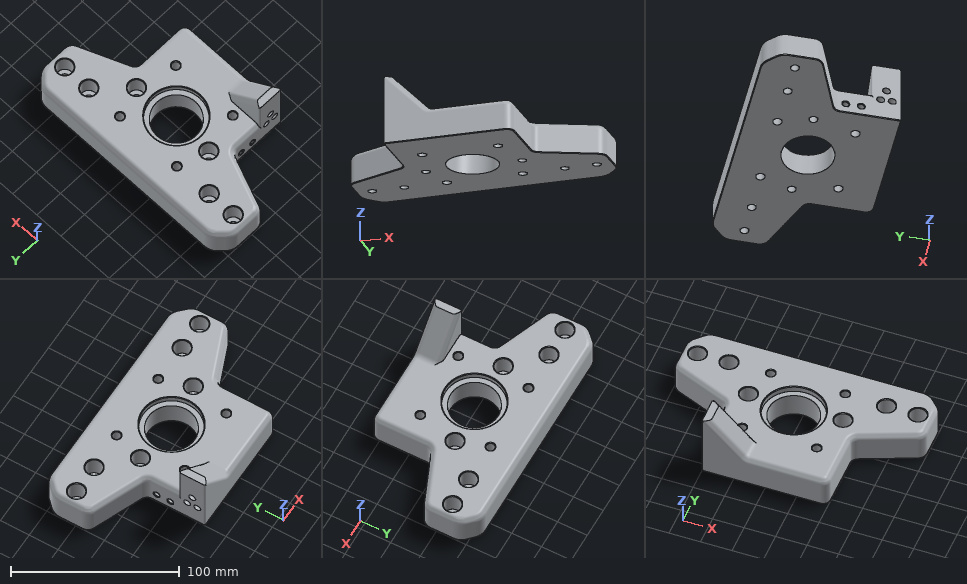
import cadquery as cq
import math

half_span = 79.9
half_body = 40.1
back_y = 43.3
front_y = -48.0
wing_end_y = 8.8
waist_y = -7.3
back_cut = 10.0
plate_height = 20.0

back_radius = 10.0
wing_radius = 6.5
body_radius = 5.0

edge_chamfer = 2.9
edge_blend_radius = 2.7
half_turn = math.radians(22.5)
edge_depth = edge_chamfer + edge_blend_radius * math.tan(half_turn)

tolerance = 0.02

small_chamfer = 0.5

tower_height = 43.0
tower_width = 18.0
tower_corner_radius = 1.1
toe_x = -12.0
toe_radius = 5.0

bore_diameter = 32.0
bore_recess_diameter = 39.0
bore_recess_depth = 4.0

motor_hole_offset = 23.6
motor_hole_diameter = 5.5
bolt_pitch = 20.0
bolt_inner_x = 30.0
bolt_inner_y = 3.2
bolt_diameter = 5.1
bolt_recess_diameter = 11.0
bolt_recess_depth = 14.0

side_hole_diameter = 3.8
side_hole_depth = 12.8
side_hole_z = 7.0
side_hole_ys = (-14.2, -23.6)
tower_hole_diameter = 4.6
tower_hole_depth = 9.6
tower_hole_low_z = 15.0
tower_hole_rise = 8.0
tower_hole_spacing = 7.0


def round_corners(plate, corners, radius):
    """Round the vertical edges at the given (x, y) corners and at their mirror images in X."""
    edges = []
    for edge in plate.edges("|Z").vals():
        place = edge.Center()
        for x, y in corners:
            if math.hypot(abs(place.x) - x, place.y - y) < tolerance:
                edges.append(edge)
    return plate.newObject(edges).fillet(radius)


def make_plate():
    """T-shaped plate with rounded plan corners and a blended top edge."""
    back_corner = (half_span - back_cut, back_y)
    wing_back_corner = (half_span, back_y - back_cut)
    wing_corner = (half_span, wing_end_y)
    waist_corner = (half_body, waist_y)
    front_corner = (half_body, front_y)
    right_side = [back_corner, wing_back_corner, wing_corner, waist_corner, front_corner]
    left_side = [(-x, y) for x, y in reversed(right_side)]

    plate = cq.Workplane("XY").polyline(right_side + left_side).close().extrude(plate_height)
    plate = round_corners(plate, [back_corner, wing_back_corner], back_radius)
    plate = round_corners(plate, [wing_corner], wing_radius)
    plate = round_corners(plate, [waist_corner, front_corner], body_radius)

    plate = plate.faces(">Z").edges().chamfer(edge_chamfer)
    top_loop = plate.faces(">Z").edges().vals()
    low_z = plate_height - edge_chamfer
    band = cq.selectors.BoxSelector(
        (-2 * half_span, -2 * half_span, low_z - tolerance),
        (2 * half_span, 2 * half_span, low_z + tolerance),
        boundingbox=True,
    )
    side_loop = plate.edges(band).vals()
    return plate.newObject(top_loop + side_loop).fillet(edge_blend_radius)


def make_tower():
    """Sloped block whose slope and toe arc carry the same blended edge as the plate."""
    margin = 3 * edge_depth
    stock_x = -half_body - margin
    arc_run = toe_radius * math.tan(half_turn)
    arc_end_x = toe_x + arc_run
    arc_start = (toe_x - arc_run * math.sqrt(0.5), plate_height + arc_run * math.sqrt(0.5))
    arc_middle = (
        arc_end_x - toe_radius * math.sin(half_turn),
        plate_height + toe_radius * (1 - math.cos(half_turn)),
    )
    end_x = arc_end_x + margin
    tower = (
        cq.Workplane("XZ", origin=(0, front_y + tower_width, 0))
        .moveTo(stock_x, 0)
        .lineTo(stock_x, plate_height + toe_x - stock_x)
        .lineTo(*arc_start)
        .threePointArc(arc_middle, (arc_end_x, plate_height))
        .lineTo(end_x, plate_height)
        .lineTo(end_x, 0)
        .close()
        .extrude(tower_width)
    )

    def rim_edges(solid):
        """Edges that run along the slope, the arc and the flat after it."""
        return [
            edge
            for edge in solid.edges().vals()
            if abs(edge.tangentAt(0.5).y) < tolerance
            and edge.Center().z > plate_height - edge_depth
            and stock_x + tolerance < edge.Center().x < end_x - tolerance
        ]

    tower = tower.newObject(rim_edges(tower)).chamfer(edge_chamfer)
    tower = tower.newObject(rim_edges(tower)).fillet(edge_blend_radius)

    envelope = (
        cq.Workplane("XY")
        .box(arc_end_x + half_body, tower_width, tower_height, centered=False)
        .edges("|Z and <X")
        .fillet(tower_corner_radius)
        .translate((-half_body, front_y, 0))
    )
    return tower.intersect(envelope)


def round_cutter(x, y, low_z, high_z, diameter):
    """Vertical cylinder between two heights."""
    return cq.Workplane("XY", origin=(x, y, low_z)).circle(diameter / 2).extrude(high_z - low_z)


def mouth_cutter(diameter):
    """Cone that breaks the rim of a hole, opening at local Z = 0 and narrowing towards +Z."""
    radius = diameter / 2
    return cq.Workplane(cq.Solid.makeCone(radius + small_chamfer, radius, small_chamfer))


def top_mouth(x, y, diameter):
    """Broken rim of a hole in the plate top."""
    return mouth_cutter(diameter).rotate((0, 0, 0), (1, 0, 0), 180).translate((x, y, plate_height))


def recessed_hole(x, y, diameter, recess_diameter, recess_depth):
    """Through hole with a flat recess from the top and a broken recess rim."""
    hole = round_cutter(x, y, 0, plate_height, diameter)
    recess = round_cutter(x, y, plate_height - recess_depth, plate_height, recess_diameter)
    return hole.union(recess).union(top_mouth(x, y, recess_diameter))


def side_hole(y, z, diameter, depth):
    """Flat-bottomed blind hole going in from the -X face."""
    return cq.Workplane("YZ", origin=(-half_body, y, z)).circle(diameter / 2).extrude(depth)


result = make_plate().union(make_tower())
result = result.faces("<Z").edges().chamfer(small_chamfer)

result = result.cut(recessed_hole(0, 0, bore_diameter, bore_recess_diameter, bore_recess_depth))

for x in (-motor_hole_offset, motor_hole_offset):
    for y in (-motor_hole_offset, motor_hole_offset):
        result = result.cut(round_cutter(x, y, 0, plate_height, motor_hole_diameter))
        result = result.cut(top_mouth(x, y, motor_hole_diameter))

bolt_outer_y = bolt_inner_y + bolt_pitch
bolt_places = [
    (bolt_inner_x, bolt_inner_y),
    (bolt_inner_x + bolt_pitch, bolt_outer_y),
    (bolt_inner_x + 2 * bolt_pitch, bolt_outer_y),
]
for side in (-1, 1):
    for x, y in bolt_places:
        result = result.cut(
            recessed_hole(side * x, y, bolt_diameter, bolt_recess_diameter, bolt_recess_depth)
        )

for y in side_hole_ys:
    mouth = mouth_cutter(side_hole_diameter).rotate((0, 0, 0), (0, 1, 0), 90)
    result = result.cut(side_hole(y, side_hole_z, side_hole_diameter, side_hole_depth))
    result = result.cut(mouth.translate((-half_body, y, side_hole_z)))

tower_middle_y = front_y + tower_width / 2
tower_hole_places = [
    (tower_middle_y - tower_hole_spacing / 2, tower_hole_low_z),
    (tower_middle_y + tower_hole_spacing / 2, tower_hole_low_z),
    (tower_middle_y, tower_hole_low_z + tower_hole_rise),
]
for y, z in tower_hole_places:
    result = result.cut(side_hole(y, z, tower_hole_diameter, tower_hole_depth))